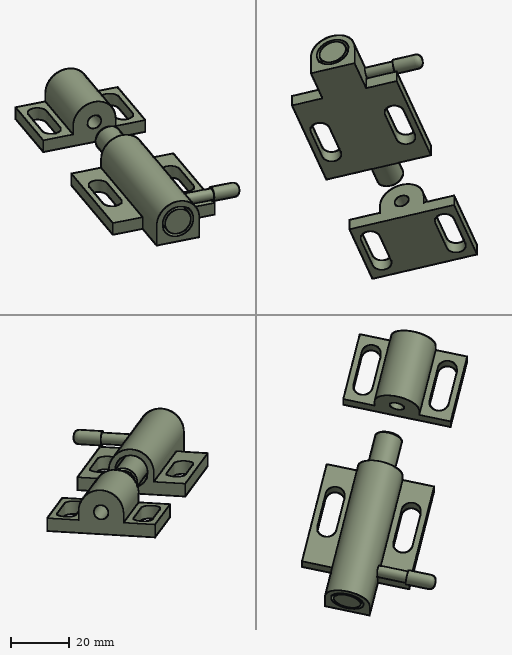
import cadquery as cq

total_length = 101.6
keeper_length = total_length / 4
housing_length = total_length / 2
housing_start = total_length - housing_length

barrel_diameter = 15.8
barrel_radius = barrel_diameter / 2
axis_height = barrel_radius
flange_width = 38.0
flange_thickness = 4.7
housing_flange_length = flange_width

slot_length = 19.3
slot_width = 6.7
slot_offset_y = (barrel_diameter + flange_width) / 4
keeper_slot_x = keeper_length / 2
housing_slot_x = 68.2

keeper_hole_diameter = 5.1
housing_bore_diameter = 11.5

bolt_diameter = 9.5
bolt_start = 37.5
bolt_chamfer = 0.6
handle_x = 88.1
stem_diameter = 4.1
grip_diameter = 5.1
grip_length = 10.0
handle_reach = 28.0
grip_rounding = 1.9


def cylinder_x(diameter, start, end):
    """Round bar on the bolt axis from X = start to X = end."""
    return (
        cq.Workplane("YZ", origin=(start, 0, axis_height))
        .circle(diameter / 2)
        .extrude(end - start)
    )


def cylinder_y(diameter, start, end):
    """Round bar on the handle axis from Y = start to Y = end."""
    return (
        cq.Workplane("XZ", origin=(handle_x, start, axis_height))
        .circle(diameter / 2)
        .extrude(start - end)
    )


def slotted_block(start, length, flange_length, slot_x):
    """Round-topped barrel on a flange with one mounting slot on each side."""
    barrel = (
        cq.Workplane("YZ", origin=(start, 0, 0))
        .moveTo(-barrel_radius, 0)
        .lineTo(barrel_radius, 0)
        .lineTo(barrel_radius, axis_height)
        .threePointArc((0, axis_height + barrel_radius), (-barrel_radius, axis_height))
        .close()
        .extrude(length)
    )
    flange = cq.Workplane("XY", origin=(start, 0, 0)).box(
        flange_length, flange_width, flange_thickness, centered=(False, True, False)
    )
    slots = (
        cq.Workplane("XY")
        .pushPoints([(slot_x, -slot_offset_y), (slot_x, slot_offset_y)])
        .slot2D(slot_length, slot_width)
        .extrude(flange_thickness)
    )
    return barrel.union(flange).cut(slots)


def make_keeper():
    """Catch block with a through hole on the bolt axis."""
    block = slotted_block(0, keeper_length, keeper_length, keeper_slot_x)
    return block.cut(cylinder_x(keeper_hole_diameter, 0, keeper_length))


def make_housing():
    """Bolt housing with a clearance bore and a side hole that fits the handle stem."""
    block = slotted_block(housing_start, housing_length, housing_flange_length, housing_slot_x)
    bore = cylinder_x(housing_bore_diameter, housing_start, total_length)
    stem_hole = cylinder_y(stem_diameter, 0, barrel_radius)
    return block.cut(bore).cut(stem_hole)


def make_bolt():
    """Sliding bolt with a chamfered nose and a side handle."""
    bar = cylinder_x(bolt_diameter, bolt_start, total_length).faces("<X").chamfer(bolt_chamfer)
    grip_start = handle_reach - grip_length
    stem = cylinder_y(stem_diameter, 0, grip_start)
    grip = cylinder_y(grip_diameter, grip_start, handle_reach).faces(">Y").edges().fillet(grip_rounding)
    return bar.union(stem).union(grip)


keeper = make_keeper()
housing = make_housing()
bolt = make_bolt()

result = cq.Compound.makeCompound([keeper.val(), housing.val(), bolt.val()])